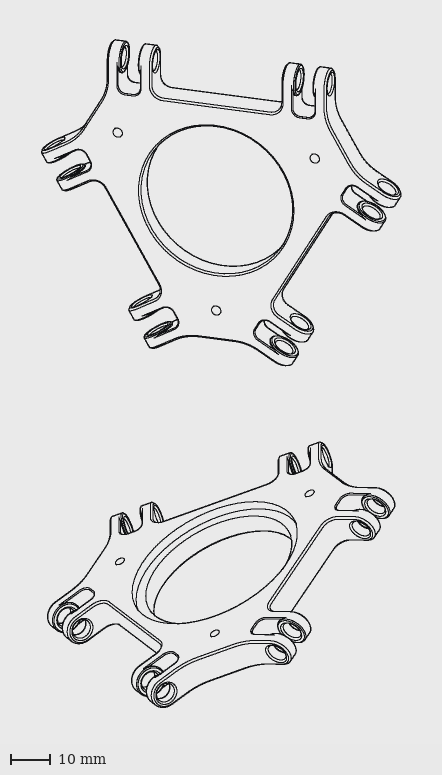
import cadquery as cq
import math

SIDES = 3
TOLERANCE = 0.01
thickness = 8.0
edge_chamfer = 0.5

pin_reach = 34.1
side_edge = 25.85
short_edge = 38.0

fork_offset = 23.0
fork_width = 11.8
slot_width = 5.85
slot_corner_radius = 2.0
slot_chamfer = 0.3
inner_corner_radius = 3.0
outer_corner_radius = 12.0

lug_radius = thickness / 2
boss_gap = 4.7
boss_chamfer = 0.3
pin_diameter = 5.0
pin_chamfer = 0.5

bore_diameter = 40.0
recess_diameter = 45.3
recess_depth = 2.5
mount_diameter = 2.5
mount_circle_radius = 30.0

fork_outer = fork_offset + fork_width / 2
fork_inner = fork_offset - fork_width / 2
lug_width = (fork_width - boss_gap) / 2
FORKS = (-fork_offset, fork_offset)

shoulder = (short_edge - fork_outer * math.cos(math.radians(30))) / math.sin(math.radians(30))


def turned(shape, side):
    return shape.rotate((0, 0, 0), (0, 1, 0), side * 360 / SIDES)


def turned_point(x, z, side):
    """Turn a point of the XZ plane the same way as turned()."""
    angle = math.radians(side * 360 / SIDES)
    return (x * math.cos(angle) + z * math.sin(angle), z * math.cos(angle) - x * math.sin(angle))


def local_centre(edge, side):
    """X and Z of an edge's centre, with the given side turned back to the top."""
    centre = edge.Center()
    return turned_point(centre.x, centre.z, -side)


def add_to_sides(body, shape):
    for side in range(SIDES):
        body = body.union(turned(shape, side))
    return body


def cut_from_sides(body, shape):
    for side in range(SIDES):
        body = body.cut(turned(shape, side))
    return body


def block(x_size, y_size, z_low, z_high):
    return (
        cq.Workplane("XY", origin=(0, 0, z_low))
        .box(x_size, y_size, z_high - z_low, centered=(True, True, False))
    )


def x_cylinder(radius, x_start, length):
    """Cylinder along X through the pin axis of the top side."""
    return cq.Workplane("YZ", origin=(x_start, 0, pin_reach)).circle(radius).extrude(length)


def prism(points):
    return cq.Workplane("XZ").polyline(points).close().extrude(thickness / 2, both=True)


def round_corners(body, corners, radius):
    """Fillet the edges along Y that stand on the given XZ corners of every side."""
    wanted = [turned_point(x, z, side) for side in range(SIDES) for x, z in corners]

    def is_wanted(edge):
        centre = edge.Center()
        return any(math.hypot(centre.x - x, centre.z - z) < TOLERANCE for x, z in wanted)

    return body.edges("|Y").filter(is_wanted).fillet(radius)


def make_plate():
    left_half = [
        (-fork_outer, shoulder),
        (-fork_outer, pin_reach),
        (-fork_inner, pin_reach),
        (-fork_inner, side_edge),
    ]
    right_half = [(-x, z) for x, z in reversed(left_half)]
    outline = [turned_point(x, z, side) for side in range(SIDES) for x, z in left_half + right_half]
    plate = prism(outline)
    plate = round_corners(plate, [left_half[0], right_half[-1]], outer_corner_radius)
    return round_corners(plate, [left_half[-1], right_half[0]], inner_corner_radius)


def cut_slots(body):
    slot = block(slot_width, thickness, side_edge, pin_reach)
    slot = slot.edges("|Y and <Z").fillet(slot_corner_radius)
    for x in FORKS:
        body = cut_from_sides(body, slot.translate((x, 0, 0)))
    return body


def chamfer_outline(body):
    """Chamfer the face edges of the plate, leaving the arm ends square."""

    def is_clear_of_arm_ends(edge):
        reaches = [local_centre(edge, side)[1] for side in range(SIDES)]
        return all(abs(reach - pin_reach) > TOLERANCE for reach in reaches)

    return body.edges("not |Y").filter(is_clear_of_arm_ends).chamfer(edge_chamfer)


def chamfer_slots(body):
    """Chamfer the face edges of every slot, which has its own smaller size."""

    def is_slot_edge(edge):
        for side in range(SIDES):
            x, z = local_centre(edge, side)
            across = abs(abs(x) - fork_offset) < slot_width / 2 + TOLERANCE
            along = side_edge - TOLERANCE < z < pin_reach - TOLERANCE
            if across and along:
                return True
        return False

    return body.edges("not |Y").filter(is_slot_edge).chamfer(slot_chamfer)


def add_lugs(body):
    """Round each arm end with a barrel that stands out into the slot as a boss."""
    barrel = (
        x_cylinder(lug_radius, 0, lug_width)
        .faces("<X").chamfer(edge_chamfer)
        .faces(">X").chamfer(boss_chamfer)
        .translate((-fork_width / 2, 0, 0))
    )
    pair = barrel.union(barrel.mirror("YZ"))
    for x in FORKS:
        body = add_to_sides(body, pair.translate((x, 0, 0)))
    return body


def cut_pin_holes(body):
    """Pin holes, with both mouths of each lug chamfered."""
    radius = pin_diameter / 2
    mouth = cq.Workplane(
        cq.Solid.makeCone(
            radius + pin_chamfer, radius, pin_chamfer,
            pnt=cq.Vector(0, 0, pin_reach), dir=cq.Vector(1, 0, 0),
        )
    )
    hole = x_cylinder(radius, 0, lug_width).union(mouth)
    hole = hole.union(mouth.mirror("YZ").translate((lug_width, 0, 0)))
    for x in FORKS:
        for start in (x - fork_width / 2, x + boss_gap / 2):
            body = cut_from_sides(body, hole.translate((start, 0, 0)))
    return body


def cut_plate_holes(body):
    bore = cq.Workplane("XZ").circle(bore_diameter / 2).extrude(thickness / 2, both=True)
    body = body.cut(bore)
    body = body.faces("<Y").edges(cq.selectors.RadiusNthSelector(-1)).chamfer(edge_chamfer)
    recess = (
        cq.Workplane("XZ", origin=(0, thickness / 2, 0))
        .circle(recess_diameter / 2).extrude(recess_depth)
    )
    body = body.cut(recess)
    mount = (
        cq.Workplane("XZ").center(0, -mount_circle_radius)
        .circle(mount_diameter / 2).extrude(thickness / 2, both=True)
    )
    return cut_from_sides(body, mount)


result = make_plate()
result = chamfer_outline(result)
result = cut_slots(result)
result = chamfer_slots(result)
result = add_lugs(result)
result = cut_pin_holes(result)
result = cut_plate_holes(result).clean()